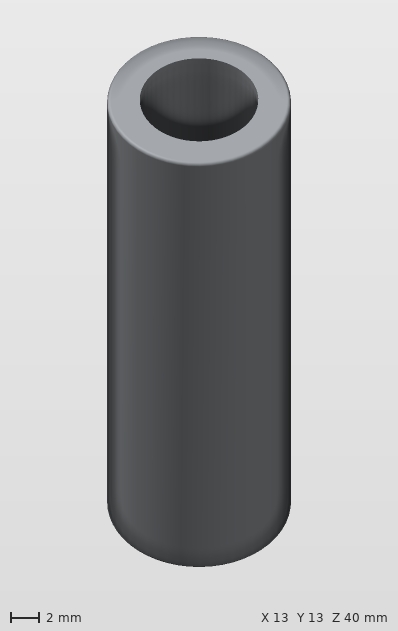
import cadquery as cq

length = 40.0
outer_diameter = 13.0
bore_diameter = 8.38
edge_fillet = 0.25


def make_sleeve():
    """Plain tube standing on the XY plane, with its axis along Z."""
    return (
        cq.Workplane("XY")
        .circle(outer_diameter / 2)
        .circle(bore_diameter / 2)
        .extrude(length)
    )


def round_outer_rims(sleeve):
    """Round the outer edge at both ends; the bore edges stay sharp."""
    outer_rims = cq.selectors.RadiusNthSelector(-1)
    return sleeve.faces("<Z or >Z").edges(outer_rims).fillet(edge_fillet)


result = round_outer_rims(make_sleeve())